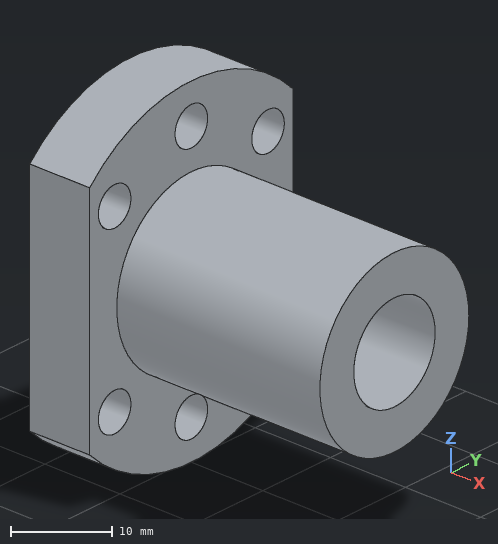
import cadquery as cq

total_length = 35.0
flange_thickness = 8.0
flange_diameter = 42.0
flange_width = 30.0
body_diameter = 22.0
bore_diameter = 12.0

bolt_circle_diameter = 32.0
mounting_hole_diameter = 4.8
holes_per_group = 3
hole_spacing_angle = 45.0
group_center_angles = (90.0, 270.0)


def cylinder_along_x(diameter, length):
    """Cylinder on the X axis, starting at X = 0."""
    return cq.Workplane("YZ").circle(diameter / 2).extrude(length)


def make_flange():
    """Round flange with two parallel flats facing +Y and -Y."""
    disc = cylinder_along_x(flange_diameter, flange_thickness)
    flats_envelope = (
        cq.Workplane("YZ")
        .rect(flange_width, flange_diameter)
        .extrude(flange_thickness)
    )
    return disc.intersect(flats_envelope)


def make_mounting_holes():
    """Cutters for both groups of through holes on the bolt circle."""
    group_span = (holes_per_group - 1) * hole_spacing_angle
    cutters = cq.Workplane("YZ")
    for center_angle in group_center_angles:
        group = (
            cq.Workplane("YZ")
            .polarArray(
                bolt_circle_diameter / 2,
                center_angle - group_span / 2,
                hole_spacing_angle,
                holes_per_group,
                fill=False,
            )
            .circle(mounting_hole_diameter / 2)
            .extrude(flange_thickness)
        )
        cutters = cutters.add(group)
    return cutters.combine()


body = cylinder_along_x(body_diameter, total_length)
bore = cylinder_along_x(bore_diameter, total_length)

result = make_flange().union(body).cut(bore).cut(make_mounting_holes())